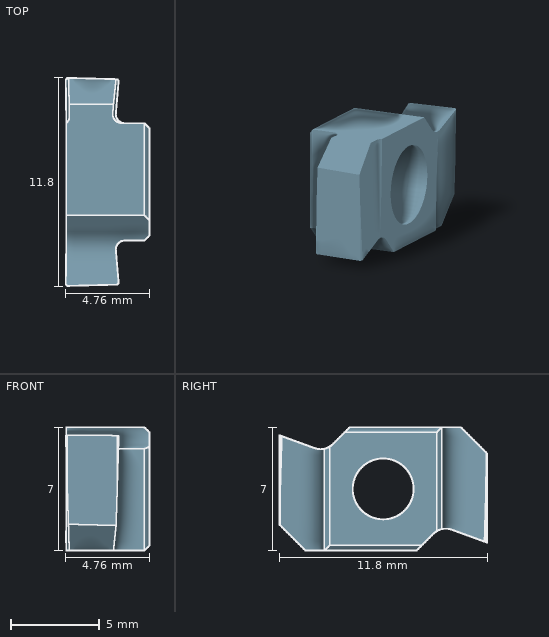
import math

import cadquery as cq


overall_thickness = 4.76
length = 11.8
height = 7.0
half_length = length / 2
half_height = height / 2

body_half_length = 3.33
body_chamfer = 0.3

back_chamfer = 1.5
tip_z = 3.05
rake_angle = math.radians(20)
gullet_start = 1.89
gullet_wall_angle = math.radians(45)
gullet_radius = 1.0

tooth_width = 3.0
relief_angle = 1.8
flank_angle = math.radians(4.2)
tip_slant = math.radians(1.5)
corner_bevel = 0.1
seat_groove_y = 3.67
seat_groove_radius = 0.4
shoulder_radius = 0.5

hole_diameter = 3.44
counterbore_diameter = 4.55
counterbore_depth = 1.17
hole_cone_length = 1.03

margin = 2.0

wall_slope = math.tan(gullet_wall_angle)
rake_slope = math.tan(rake_angle)
gullet_y = (half_height + wall_slope * gullet_start - tip_z + rake_slope * half_length) / (
    wall_slope + rake_slope
)
gullet_z = half_height - wall_slope * (gullet_y - gullet_start)

gullet_tangent = gullet_radius * math.tan((gullet_wall_angle + rake_angle) / 2)
gullet_floor_z = (
    gullet_z
    + gullet_tangent * math.sin(rake_angle)
    + gullet_radius * (math.cos(rake_angle) - 1)
)

tip_overhang = (tip_z - gullet_floor_z) * math.tan(math.radians(relief_angle))
thickness = overall_thickness - tip_overhang


def half_turn(shape):
    """Turn a shape onto the opposite tooth."""
    return shape.rotate((0, 0, 0), (1, 0, 0), 180)


def side_profile():
    """Prism along X with the insert's outline: back chamfers, rake faces and gullets."""
    half_outline = [
        (-gullet_start, half_height),
        (-gullet_y, gullet_z),
        (-half_length, tip_z),
        (-half_length, back_chamfer - half_height),
        (back_chamfer - half_length, -half_height),
    ]
    outline = half_outline + [(-y, -z) for y, z in half_outline]
    outline_plane = cq.Workplane("YZ", origin=(-tip_overhang, 0, 0))
    prism = outline_plane.polyline(outline).close().extrude(overall_thickness)
    for side in (-1, 1):
        gullet_edge = cq.selectors.NearestToPointSelector(
            (thickness / 2, side * gullet_y, -side * gullet_z)
        )
        prism = prism.edges(gullet_edge).fillet(gullet_radius)
    return prism


def envelope():
    """Bevelled central body with a full-height block of stock for each tooth."""
    stock = (
        cq.Workplane("XY")
        .box(thickness, 2 * body_half_length, height, centered=(False, True, True))
        .faces(">X")
        .chamfer(body_chamfer)
    )
    tooth_length = half_length - seat_groove_y
    stock_width = tooth_width + 2 * shoulder_radius
    root = cq.Workplane("XY").box(
        stock_width, 2 * seat_groove_y, height, centered=(False, True, True)
    )
    tooth = (
        cq.Workplane("XY")
        .box(stock_width + tip_overhang, tooth_length, height, centered=(False, False, True))
        .translate((-tip_overhang, -half_length, 0))
    )
    return stock.union(root).union(tooth).union(half_turn(tooth))


def cutter_prism(sketch):
    """Extrude a plan sketch along Z past both ends of the part."""
    return sketch.extrude(half_height + margin, both=True)


def tilt_about_y(prism, pivot_x, pivot_z, angle):
    """Tilt a cutter about a line along Y."""
    return prism.rotate((pivot_x, 0, pivot_z), (pivot_x, 1, pivot_z), angle)


def seat_relief():
    """Relief on the seat side of the -Y tooth, level with the seat at the gullet floor."""
    start_y = -seat_groove_y
    end_y = -half_length - margin
    r = seat_groove_radius
    sketch = (
        cq.Workplane("XY")
        .moveTo(0, end_y)
        .lineTo(0, start_y)
        .radiusArc((-r, start_y + r), -r)
        .lineTo(-r, end_y)
        .close()
    )
    return tilt_about_y(cutter_prism(sketch), 0, gullet_floor_z, -relief_angle)


def shoulder_relief():
    """Relief on the far side of the -Y tooth with a rounded corner at the body wall."""
    end_y = -half_length - margin
    root_x = tooth_width - (half_length - body_half_length) * math.tan(flank_angle)
    end_x = tooth_width + margin * math.tan(flank_angle)
    sketch = (
        cq.Workplane("XY")
        .moveTo(root_x, -body_half_length)
        .lineTo(end_x, end_y)
        .lineTo(thickness + margin, end_y)
        .lineTo(thickness + margin, -body_half_length)
        .close()
    )
    prism = cutter_prism(sketch)
    corner = cq.selectors.NearestToPointSelector((root_x, -body_half_length, 0))
    prism = prism.edges(corner).fillet(shoulder_radius)
    return tilt_about_y(prism, tooth_width, tip_z, relief_angle)


def tip_trim():
    """Slightly slanted end face of the -Y tooth."""
    near_x = corner_bevel - tip_overhang
    far_x = near_x + overall_thickness
    far_y = -half_length + overall_thickness * math.tan(tip_slant)
    end_y = -half_length - margin
    sketch = (
        cq.Workplane("XY")
        .polyline([(near_x, -half_length), (far_x, far_y), (far_x, end_y), (near_x, end_y)])
        .close()
    )
    return cutter_prism(sketch)


def corner_trim(corner_x, corner_y, side):
    """Small 45 degree bevel on a tip corner; side is the outward X direction."""
    reach = corner_bevel + margin
    sketch = (
        cq.Workplane("XY")
        .moveTo(corner_x - side * reach, corner_y - margin)
        .lineTo(corner_x + side * margin, corner_y + reach)
        .lineTo(corner_x + side * margin, corner_y - margin)
        .close()
    )
    return cutter_prism(sketch)


def screw_hole():
    """Stepped hole along X: counterbore, cone, then a plain bore."""
    bore_radius = hole_diameter / 2
    counterbore_radius = counterbore_diameter / 2
    cone_end = counterbore_depth + hole_cone_length
    return (
        cq.Workplane("XZ")
        .polyline(
            [
                (0, 0),
                (0, -counterbore_radius),
                (counterbore_depth, -counterbore_radius),
                (cone_end, -bore_radius),
                (thickness, -bore_radius),
                (thickness, 0),
            ]
        )
        .close()
        .revolve(360, (0, 0, 0), (1, 0, 0))
    )


tip_far_y = -half_length + tooth_width * math.tan(tip_slant)
tooth_cutters = [
    seat_relief(),
    shoulder_relief(),
    tip_trim(),
    corner_trim(-tip_overhang, -half_length, -1),
    corner_trim(tooth_width, tip_far_y, 1),
]

result = envelope().intersect(side_profile())
for cutter in tooth_cutters:
    result = result.cut(cutter).cut(half_turn(cutter))
result = result.cut(screw_hole())